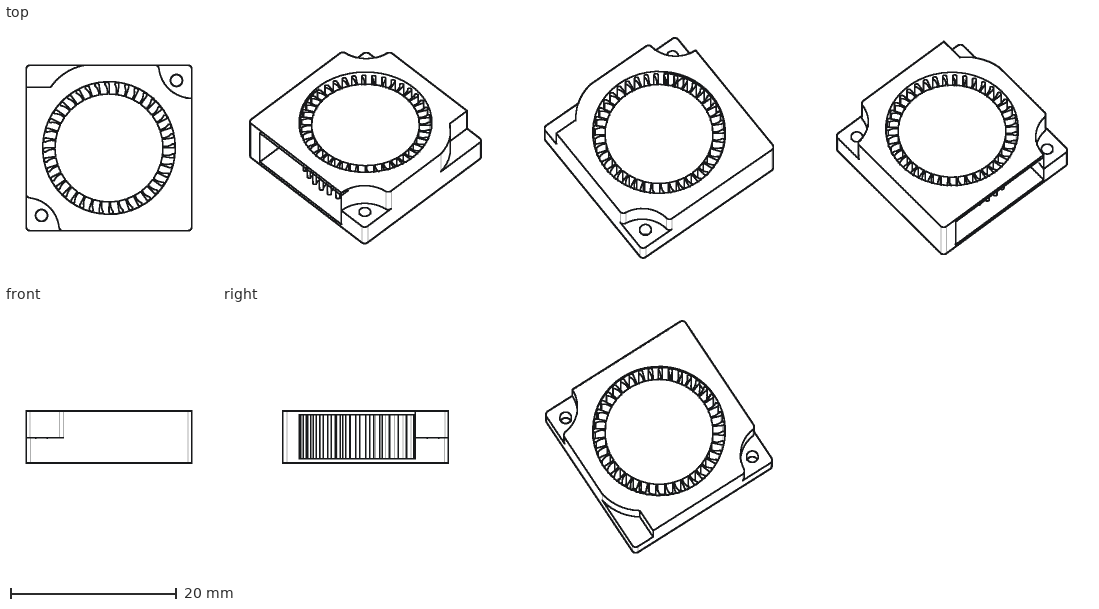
import cadquery as cq
import math

SIDE = 20.0
HEIGHT = 6.3
EDGE_RADIUS = 0.5
WALL = 0.5
HALF = SIDE / 2

LEDGE_HEIGHT = 3.05
EAR_RADIUS = 4.0
SCREW_DIAMETER = 1.4
SCREW_OFFSET = 8.15

SHOULDER_DEPTH = 2.68
SCROLL_RADIUS = 6.25
SCROLL_X = -1.85
SCROLL_Y = 3.85

INLET_RADIUS = 8.0
OUTLET_TOP_Y = 6.0
OUTLET_BOTTOM_Y = -INLET_RADIUS
CHAMBER_TOP = HEIGHT - WALL

HUB_RADIUS = 6.5
BLADE_COUNT = 40
BLADE_TIP_RADIUS = 7.95
BLADE_ROOT_WIDTH = 0.2
BLADE_TIP_WIDTH = 0.5
BLADE_HOLLOW_DEPTH = 0.15
BLADE_ROOT_OVERLAP = 0.1


def housing_block():
    block = cq.Workplane("XY").box(SIDE, SIDE, HEIGHT, centered=(True, True, False))
    return block.edges("|Z").fillet(EDGE_RADIUS)


def from_ledge():
    return cq.Workplane("XY").workplane(offset=LEDGE_HEIGHT)


def ear_lip():
    """Sliver at the origin that rounds the meeting of the ear cut and a side along +X."""
    centre_x = math.sqrt((EAR_RADIUS + EDGE_RADIUS) ** 2 - EDGE_RADIUS**2)
    share = EAR_RADIUS / (EAR_RADIUS + EDGE_RADIUS)
    wedge = (
        from_ledge()
        .lineTo(centre_x, 0)
        .lineTo(centre_x, EDGE_RADIUS)
        .lineTo(centre_x * share, EDGE_RADIUS * share)
        .close()
        .extrude(HEIGHT)
    )
    return wedge.cut(from_ledge().center(centre_x, EDGE_RADIUS).circle(EDGE_RADIUS).extrude(HEIGHT))


def ear_cut(both_lips):
    """Quarter-round cut at the -X -Y corner, rounded into the -Y side and optionally the -X side."""
    cut = from_ledge().circle(EAR_RADIUS).extrude(HEIGHT).union(ear_lip())
    if both_lips:
        cut = cut.union(ear_lip().mirror(cq.Vector(1, -1, 0)))
    return cut.translate((-HALF, -HALF, 0))


def shoulder_cut():
    shoulder_y = HALF - SHOULDER_DEPTH
    shoulder_x = SCROLL_X - math.sqrt(SCROLL_RADIUS**2 - (shoulder_y - SCROLL_Y) ** 2)
    scroll_end_x = SCROLL_X - math.sqrt(SCROLL_RADIUS**2 - (HALF - SCROLL_Y) ** 2)
    diagonal = SCROLL_RADIUS * math.sqrt(0.5)
    return (
        from_ledge()
        .moveTo(-HALF, HALF)
        .lineTo(-HALF, shoulder_y)
        .lineTo(shoulder_x, shoulder_y)
        .threePointArc((SCROLL_X - diagonal, SCROLL_Y + diagonal), (scroll_end_x, HALF))
        .close()
        .extrude(HEIGHT)
    )


def screw_holes():
    corners = [(-SCREW_OFFSET, -SCREW_OFFSET), (SCREW_OFFSET, SCREW_OFFSET)]
    return cq.Workplane("XY").pushPoints(corners).circle(SCREW_DIAMETER / 2).extrude(HEIGHT)


def air_path():
    floor = cq.Workplane("XY").workplane(offset=WALL)
    inlet = floor.circle(INLET_RADIUS).extrude(HEIGHT)
    outlet_width = OUTLET_TOP_Y - OUTLET_BOTTOM_Y
    outlet = (
        floor.center(HALF / 2, (OUTLET_TOP_Y + OUTLET_BOTTOM_Y) / 2)
        .rect(HALF, outlet_width)
        .extrude(CHAMBER_TOP - WALL)
    )
    return inlet.union(outlet)


def blade():
    """One blade on the +Y axis: a flat radial face, a hollow face and a half-round tip."""
    shoulder_radius = BLADE_TIP_RADIUS - BLADE_TIP_WIDTH / 2
    hollow_middle = (
        BLADE_HOLLOW_DEPTH - (BLADE_ROOT_WIDTH + BLADE_TIP_WIDTH) / 2,
        (HUB_RADIUS + shoulder_radius) / 2,
    )
    return (
        cq.Workplane("XY")
        .workplane(offset=WALL)
        .moveTo(0, HUB_RADIUS - BLADE_ROOT_OVERLAP)
        .lineTo(0, shoulder_radius)
        .threePointArc((-BLADE_TIP_WIDTH / 2, BLADE_TIP_RADIUS), (-BLADE_TIP_WIDTH, shoulder_radius))
        .threePointArc(hollow_middle, (-BLADE_ROOT_WIDTH, HUB_RADIUS))
        .lineTo(-BLADE_ROOT_WIDTH, HUB_RADIUS - BLADE_ROOT_OVERLAP)
        .close()
        .extrude(CHAMBER_TOP - WALL)
    )


def impeller():
    hub = cq.Workplane("XY").circle(HUB_RADIUS).extrude(CHAMBER_TOP)
    single = blade()
    blades = [
        single.rotate((0, 0, 0), (0, 0, 1), index * 360 / BLADE_COUNT).val()
        for index in range(BLADE_COUNT)
    ]
    return cq.Workplane(hub.val().fuse(*blades))


near_ear = ear_cut(both_lips=True)
far_ear = ear_cut(both_lips=False).rotate((0, 0, 0), (0, 0, 1), 180)

result = (
    housing_block()
    .cut(near_ear)
    .cut(far_ear)
    .cut(shoulder_cut())
    .cut(screw_holes())
    .cut(air_path())
    .union(impeller())
)